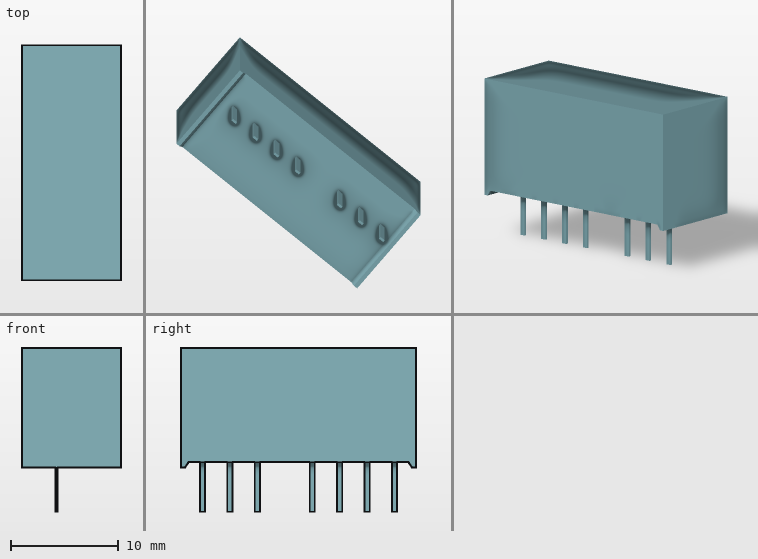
import cadquery as cq

length = 21.8
width = 9.2
total_height = 15.2
housing_height = 11.1
standoff = 0.5
foot_tip = 0.4
foot_root = 0.72

pin_row_span = 17.79
pin_positions = 8
empty_position = 4
pin_thickness = 0.22
pin_width = 0.5
pin_row_x = 3.2

pin_tip_z = housing_height - total_height
pin_length = standoff - pin_tip_z
pin_pitch = pin_row_span / (pin_positions - 1)


def make_housing():
    """Extrude the side profile, feet included, across the width."""
    half_length = length / 2
    tip_y = half_length - foot_tip
    root_y = half_length - foot_root
    profile = [
        (-half_length, 0),
        (-tip_y, 0),
        (-root_y, standoff),
        (root_y, standoff),
        (tip_y, 0),
        (half_length, 0),
        (half_length, housing_height),
        (-half_length, housing_height),
    ]
    return cq.Workplane("YZ").polyline(profile).close().extrude(width)


def make_pin(y):
    """Make a flat pin hanging from the raised underside."""
    return (
        cq.Workplane("XY")
        .box(pin_thickness, pin_width, pin_length, centered=(True, True, False))
        .translate((pin_row_x, y, pin_tip_z))
    )


housing = make_housing()

first_pin_y = pin_row_span / 2
pins = []
for position in range(pin_positions):
    if position != empty_position:
        pins.append(make_pin(first_pin_y - position * pin_pitch).val())

result = cq.Compound.makeCompound([housing.val(), *pins])